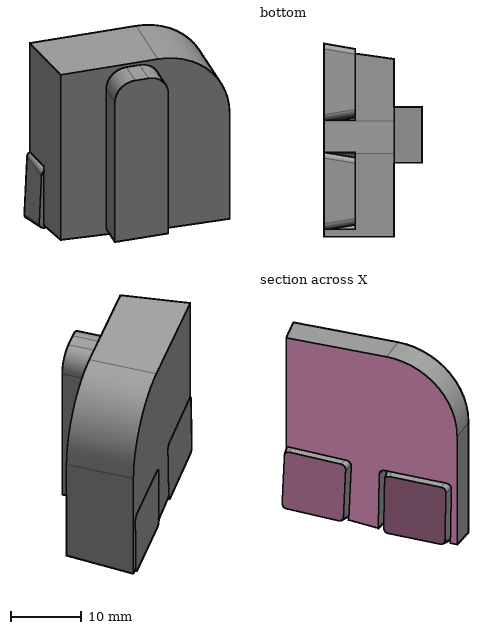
import cadquery as cq
import math


body_width = 10.0
body_length = 26.72
body_height = 28.95
rear_corner_radius = 10.8
front_draft = 8.0

facet_tilt_rear = 1.0
facet_tilt_middle = 5.5
facet_tilt_front = 2.5
rear_break_y = 14.85
front_break_y = 10.2
underside_draft = 4.5

rib_width = 8.0
rib_projection = 4.0
rib_top_z = -0.5
rib_bottom_z = -26.5
rib_center_y = 12.22
rib_corner_radius = 3.0

insert_size = 10.92
insert_thickness = 4.5
insert_base_inset = 0.75
insert_corner_radius = 0.8
seat_corner_radius = 0.77
front_insert_center = (4.86, -23.5)
rear_insert_center = (20.24, -24.28)
front_insert_tilt = facet_tilt_front
rear_insert_tilt = facet_tilt_rear

clearance = 5.0


def slope(angle):
    return math.tan(math.radians(angle))


def place(shape, center, tilt):
    """Move a shape built around the origin to an insert position, tilted upward toward the front."""
    return shape.rotate((0, 0, 0), (1, 0, 0), -tilt).translate((0, *center))


def make_underside_cutter():
    """Space below the three facets, swept along X while rising with the underside draft."""
    rear_z = -body_height
    rear_break_z = rear_z + (body_length - rear_break_y) * slope(facet_tilt_rear)
    front_break_z = rear_break_z + (rear_break_y - front_break_y) * slope(facet_tilt_middle)
    end_y = -clearance
    end_z = front_break_z + (front_break_y - end_y) * slope(facet_tilt_front)
    floor_z = -body_height - clearance
    outline = cq.Wire.makePolygon(
        [
            cq.Vector(0, body_length, rear_z),
            cq.Vector(0, rear_break_y, rear_break_z),
            cq.Vector(0, front_break_y, front_break_z),
            cq.Vector(0, end_y, end_z),
            cq.Vector(0, end_y, floor_z),
            cq.Vector(0, body_length, floor_z),
        ],
        close=True,
    )
    sweep = cq.Vector(body_width, 0, body_width * slope(underside_draft))
    return cq.Workplane(cq.Solid.extrudeLinear(outline, [], sweep))


def make_rib():
    return (
        cq.Workplane("XY")
        .box(rib_projection, rib_width, rib_top_z - rib_bottom_z, centered=(False, True, False))
        .edges("|X and >Z")
        .fillet(rib_corner_radius)
        .translate((body_width, rib_center_y, rib_bottom_z))
    )


def make_pocket(center, tilt, front_reach, rounded_corners):
    """Straight-walled insert seat, open below and reaching front_reach past the front of the insert."""
    half = insert_size / 2
    pocket = (
        cq.Workplane("XY")
        .box(insert_thickness, insert_size + front_reach, insert_size + clearance, centered=False)
        .translate((0, -half - front_reach, -half - clearance))
        .edges(rounded_corners)
        .fillet(seat_corner_radius)
    )
    return place(pocket, center, tilt)


def make_insert(center, tilt):
    """Square insert that narrows toward its seat, with rounded corners."""
    draft = math.degrees(math.atan(insert_base_inset / insert_thickness))
    insert = (
        cq.Workplane("YZ")
        .rect(insert_size, insert_size)
        .extrude(insert_thickness, taper=draft)
        .edges("not(<X or >X)")
        .fillet(insert_corner_radius)
    )
    return place(insert, center, tilt)


def make_body():
    front_inset = body_width * slope(front_draft)
    body = (
        cq.Workplane("XY")
        .polyline([(0, 0), (body_width, front_inset), (body_width, body_length), (0, body_length)])
        .close()
        .extrude(-body_height)
        .edges(">Z and >Y")
        .fillet(rear_corner_radius)
        .cut(make_underside_cutter())
        .union(make_rib())
    )
    body = body.cut(make_pocket(front_insert_center, front_insert_tilt, clearance, "|X and >Z and >Y"))
    return body.cut(make_pocket(rear_insert_center, rear_insert_tilt, 0, "|X and >Z"))


body = make_body()

insert_seats = [
    (front_insert_center, front_insert_tilt),
    (rear_insert_center, rear_insert_tilt),
]
inserts = [make_insert(center, tilt) for center, tilt in insert_seats]

result = cq.Compound.makeCompound([body.solids().val(), *[insert.solids().val() for insert in inserts]])